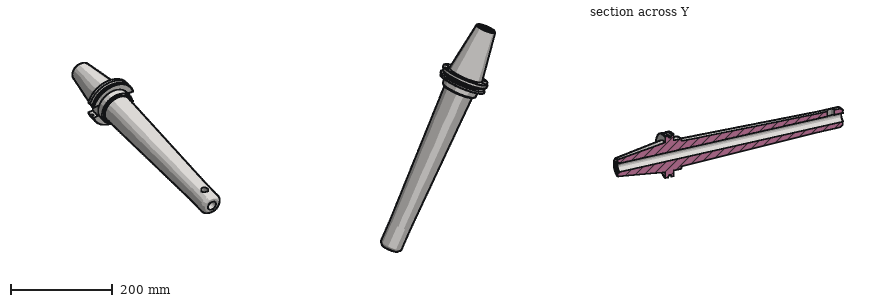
import cadquery as cq

TOTAL_LENGTH = 482.5
TAPER_LENGTH = 102.0
TAPER_SMALL_DIAMETER = 40.5
TAPER_LARGE_DIAMETER = 70.0
TAPER_END_CHAMFER = 2.0

FLANGE_DIAMETER = 97.0
FLANGE_WIDTH = 19.5
FLANGE_CHAMFER = 1.0
GROOVE_OFFSET = 10.5
GROOVE_CENTER = TAPER_LENGTH + GROOVE_OFFSET
GROOVE_MOUTH_WIDTH = 7.0
GROOVE_FLOOR_WIDTH = 2.5
GROOVE_DEPTH = 5.0

SLOT_WIDTH = 25.5
FRONT_SLOT_FLOOR = 35.5
BACK_SLOT_FLOOR = 37.0

COLLAR_DIAMETER = 71.0
COLLAR_END = 135.0
COLLAR_CHAMFER = 2.5

SHANK_LARGE_DIAMETER = 60.0
NOSE_DIAMETER = 44.5
NOSE_LENGTH = 51.0
NOSE_CHAMFER = 6.0
NOSE_BLEND_RADIUS = 3.0

BORE_DIAMETER = 19.0
COUNTERBORE_DIAMETER = 22.0
COUNTERBORE_DEPTH = 5.0
MOUTH_CHAMFER = 2.0

SCREW_HOLE_DIAMETER = 14.5
SCREW_HOLE_FROM_END = 26.5


def make_body():
    """Revolve the complete outer profile about the X axis."""
    taper_radius = TAPER_SMALL_DIAMETER / 2
    flange_radius = FLANGE_DIAMETER / 2
    collar_radius = COLLAR_DIAMETER / 2
    nose_radius = NOSE_DIAMETER / 2
    flange_end = TAPER_LENGTH + FLANGE_WIDTH
    groove_radius = flange_radius - GROOVE_DEPTH
    half_mouth = GROOVE_MOUTH_WIDTH / 2
    half_floor = GROOVE_FLOOR_WIDTH / 2
    outline = [
        (0, 0),
        (0, taper_radius - TAPER_END_CHAMFER),
        (TAPER_END_CHAMFER, taper_radius),
        (TAPER_LENGTH, TAPER_LARGE_DIAMETER / 2),
        (TAPER_LENGTH, flange_radius - FLANGE_CHAMFER),
        (TAPER_LENGTH + FLANGE_CHAMFER, flange_radius),
        (GROOVE_CENTER - half_mouth, flange_radius),
        (GROOVE_CENTER - half_floor, groove_radius),
        (GROOVE_CENTER + half_floor, groove_radius),
        (GROOVE_CENTER + half_mouth, flange_radius),
        (flange_end - FLANGE_CHAMFER, flange_radius),
        (flange_end, flange_radius - FLANGE_CHAMFER),
        (flange_end, collar_radius),
        (COLLAR_END, collar_radius),
        (COLLAR_END + COLLAR_CHAMFER, collar_radius - COLLAR_CHAMFER),
        (COLLAR_END + COLLAR_CHAMFER, SHANK_LARGE_DIAMETER / 2),
        (TOTAL_LENGTH - NOSE_LENGTH, nose_radius),
        (TOTAL_LENGTH, nose_radius),
        (TOTAL_LENGTH, 0),
    ]
    return cq.Workplane("XY").polyline(outline).close().revolve(360, (0, 0), (1, 0))


def make_bore():
    """Through bore with a chamfered counterbore at the taper end."""
    bore_radius = BORE_DIAMETER / 2
    counterbore_radius = COUNTERBORE_DIAMETER / 2
    outline = [
        (0, 0),
        (0, counterbore_radius + MOUTH_CHAMFER),
        (MOUTH_CHAMFER, counterbore_radius),
        (COUNTERBORE_DEPTH, counterbore_radius),
        (COUNTERBORE_DEPTH, bore_radius),
        (TOTAL_LENGTH, bore_radius),
        (TOTAL_LENGTH, 0),
    ]
    return cq.Workplane("XY").polyline(outline).close().revolve(360, (0, 0), (1, 0))


def make_drive_slot(side, floor):
    """Slot through the flange width, opening toward +Y or -Y according to side."""
    depth = FLANGE_DIAMETER / 2 - floor
    center = (TAPER_LENGTH + FLANGE_WIDTH / 2, side * (floor + depth / 2), 0)
    return cq.Workplane("XY").box(FLANGE_WIDTH, depth, SLOT_WIDTH).translate(center)


def make_screw_hole():
    """Radial hole from the top of the nose into the bore."""
    return (
        cq.Workplane("XY")
        .center(TOTAL_LENGTH - SCREW_HOLE_FROM_END, 0)
        .circle(SCREW_HOLE_DIAMETER / 2)
        .extrude(NOSE_DIAMETER)
    )


def round_nose_end(body):
    """Chamfer the nose end and blend both edges of the chamfer."""
    chamfered = body.faces(">X").edges().chamfer(NOSE_CHAMFER)
    near_end = cq.selectors.BoxSelector(
        (TOTAL_LENGTH - NOSE_LENGTH / 2, -NOSE_DIAMETER, -NOSE_DIAMETER),
        (TOTAL_LENGTH + NOSE_CHAMFER, NOSE_DIAMETER, NOSE_DIAMETER),
    )
    return chamfered.edges("%CIRCLE").edges(near_end).fillet(NOSE_BLEND_RADIUS)


result = round_nose_end(make_body()).cut(make_bore()).cut(make_screw_hole())
for side, floor in ((-1, FRONT_SLOT_FLOOR), (1, BACK_SLOT_FLOOR)):
    result = result.cut(make_drive_slot(side, floor))